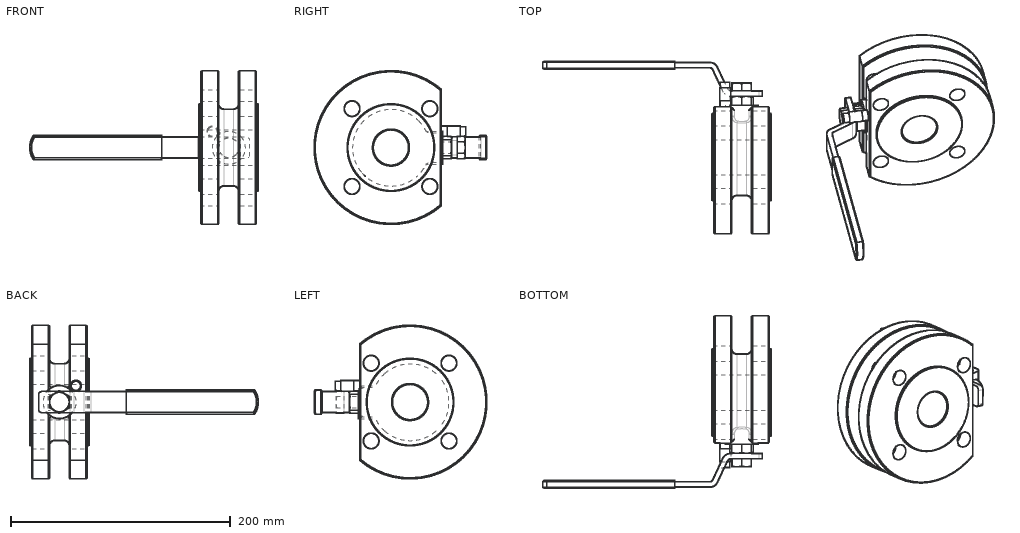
import cadquery as cq
import math


overall_length = 208.0
flange_diameter = 140.0
body_half_length = 27.0
face_diameter = 79.6
face_height = 1.9
face_chamfer = 0.6
gap_half_width = 9.0
neck_diameter = 70.0
neck_fillet = 4.5
rim_chamfer = 1.0
bore_diameter = 32.0
bore_chamfer = 0.8
bolt_hole_diameter = 14.0
bolt_circle_diameter = 100.0
bolt_count = 4
flat_y = 46.0

boss_diameter = 30.0
boss_top_y = 47.2
boss_fillet = 1.7
nut_across_flats = 17.9
nut_chamfer_height = 0.8
nut_chamfer_width = 1.5
nut_top_y = 67.5
tab_span = 21.5
tab_width = 14.5
tab_gap = 0.6

pin_x = -15.0
pin_z = 14.8
pin_base_diameter = 9.8
pin_diameter = 10.0
pin_tip_diameter = 8.5
pin_base_top_y = 51.2
pin_tip_y = 63.0
pin_top_y = 68.2

lever_thickness = 5.0
lever_width = 19.3
lever_low_y = 57.8
lever_high_y = 83.5
lever_low_corner_x = -13.5
lever_slope_angle = math.radians(65)
lever_low_bend_radius = 6.2
lever_high_bend_radius = 4.8
lever_end_x = 19.0
lever_corner_radius = 3.1
lever_in_grip = 7.3
grip_end_x = body_half_length - overall_length
grip_start_x = -61.0
grip_thickness = 7.3
grip_width = 22.2
grip_chamfer_width = 1.7
grip_chamfer_depth = 1.0
grip_crown = 3.5

flange_face_x = body_half_length - face_height
lever_top_y = lever_low_y + lever_thickness / 2
lever_bottom_y = lever_low_y - lever_thickness / 2


def y_cylinder(diameter, y_start, y_end, x=0.0, z=0.0):
    """Cylinder along Y between two heights."""
    plane = cq.Workplane("XZ", origin=(x, y_start, z))
    return plane.circle(diameter / 2).extrude(y_start - y_end)


def make_disc(diameter, x_start, x_end):
    """Disc along X."""
    plane = cq.Workplane("YZ", origin=(x_start, 0, 0))
    return plane.circle(diameter / 2).extrude(x_end - x_start)


def make_flange(side):
    """Flange with a flat towards the stem, its raised face and chamfered rims."""
    disc = make_disc(flange_diameter, side * gap_half_width, side * flange_face_x)
    cut_size = 2 * flange_diameter
    above_flat = cq.Workplane("XY").box(cut_size, cut_size, cut_size)
    above_flat = above_flat.translate((0, flat_y + cut_size / 2, 0))
    flange = disc.cut(above_flat).faces("|X").chamfer(rim_chamfer)
    face = make_disc(face_diameter, side * gap_half_width, side * body_half_length)
    outer_face = ">X" if side > 0 else "<X"
    return flange.union(face.faces(outer_face).chamfer(face_chamfer))


def make_neck():
    """Neck between the flanges, flared by a fillet where it meets each flange."""
    radius = neck_diameter / 2
    straight = gap_half_width - neck_fillet
    flare_radius = radius + neck_fillet
    return (
        cq.Workplane("XY")
        .moveTo(-gap_half_width, 0)
        .lineTo(-gap_half_width, flare_radius)
        .radiusArc((-straight, radius), -neck_fillet)
        .lineTo(straight, radius)
        .radiusArc((gap_half_width, flare_radius), -neck_fillet)
        .lineTo(gap_half_width, 0)
        .close()
        .revolve(360, (0, 0, 0), (1, 0, 0))
    )


def make_bore():
    """Through bore, with the cone that chamfers each of its mouths."""
    radius = bore_diameter / 2
    chamfer_start_x = body_half_length - bore_chamfer
    return (
        cq.Workplane("XY")
        .moveTo(-body_half_length, 0)
        .lineTo(-body_half_length, radius + bore_chamfer)
        .lineTo(-chamfer_start_x, radius)
        .lineTo(chamfer_start_x, radius)
        .lineTo(body_half_length, radius + bore_chamfer)
        .lineTo(body_half_length, 0)
        .close()
        .revolve(360, (0, 0, 0), (1, 0, 0))
    )


def make_body():
    """Flanges, neck and stem boss, bored through and drilled for the bolts."""
    body = make_flange(-1).union(make_flange(1)).union(make_neck())
    body = body.union(y_cylinder(boss_diameter, 0, flat_y))
    boss_joint = cq.selectors.BoxSelector(
        (-flange_face_x / 2, neck_diameter / 4, -boss_diameter),
        (flange_face_x / 2, flat_y - rim_chamfer, boss_diameter),
    )
    body = body.edges(boss_joint).fillet(boss_fillet)
    body = body.cut(make_bore())
    bolt_holes = (
        cq.Workplane("YZ", origin=(-body_half_length, 0, 0))
        .polarArray(bolt_circle_diameter / 2, 45, 360, bolt_count)
        .circle(bolt_hole_diameter / 2)
        .extrude(2 * body_half_length)
    )
    return body.cut(bolt_holes)


def make_nut(y_start, y_end):
    """Hexagon nut with two corners towards +Z and -Z and a chamfered top."""
    corner_diameter = nut_across_flats / math.cos(math.pi / 6)
    nut = (
        cq.Workplane("XZ", origin=(0, y_start, 0))
        .transformed(rotate=(0, 0, 90))
        .polygon(6, corner_diameter)
        .extrude(y_start - y_end)
    )
    envelope = y_cylinder(corner_diameter, y_start, y_end)
    envelope = envelope.faces(">Y").edges().chamfer(nut_chamfer_height, nut_chamfer_width)
    return nut.intersect(envelope)


def make_stem():
    """Boss top with a nut below the lever, lock tabs against that nut and a nut above the lever."""
    stem = y_cylinder(boss_diameter, flat_y, boss_top_y)
    stem = stem.union(make_nut(boss_top_y, lever_bottom_y))
    tab_height = lever_bottom_y - tab_gap - boss_top_y
    tab_thickness = (tab_span - nut_across_flats) / 2
    tab = cq.Workplane("XY").box(tab_thickness, tab_height, tab_width)
    for side in (-1, 1):
        tab_x = side * (tab_span - tab_thickness) / 2
        stem = stem.union(tab.translate((tab_x, boss_top_y + tab_height / 2, 0)))
    return stem.union(make_nut(lever_top_y, nut_top_y))


def make_pin():
    """Stepped pin standing on the flat of the -X flange."""
    pin = y_cylinder(pin_base_diameter, flat_y, pin_base_top_y, pin_x, pin_z)
    pin = pin.union(y_cylinder(pin_diameter, pin_base_top_y, pin_tip_y, pin_x, pin_z))
    return pin.union(y_cylinder(pin_tip_diameter, pin_tip_y, pin_top_y, pin_x, pin_z))


def make_lever():
    """Flat bar that runs level, slopes down and runs level again under the top nut."""
    high_corner_x = lever_low_corner_x - (lever_high_y - lever_low_y) / math.tan(lever_slope_angle)
    slope_x = math.cos(lever_slope_angle)
    slope_y = math.sin(lever_slope_angle)
    low_setback = lever_low_bend_radius * math.tan(lever_slope_angle / 2)
    high_setback = lever_high_bend_radius * math.tan(lever_slope_angle / 2)
    low_bend_end = (lever_low_corner_x - low_setback * slope_x, lever_low_y + low_setback * slope_y)
    high_bend_start = (high_corner_x + high_setback * slope_x, lever_high_y - high_setback * slope_y)
    path = (
        cq.Workplane("XY")
        .moveTo(lever_end_x, lever_low_y)
        .lineTo(lever_low_corner_x + low_setback, lever_low_y)
        .radiusArc(low_bend_end, lever_low_bend_radius)
        .lineTo(*high_bend_start)
        .radiusArc((high_corner_x - high_setback, lever_high_y), -lever_high_bend_radius)
        .lineTo(grip_start_x - lever_in_grip, lever_high_y)
    )
    start = cq.Workplane("YZ", origin=(lever_end_x, lever_low_y, 0))
    lever = start.rect(lever_thickness, lever_width).sweep(path)
    return lever.faces(">X").edges("|Y").fillet(lever_corner_radius)


def make_grip():
    """Grip sleeve with a crowned end and chamfered long and crowned edges."""
    half_width = grip_width / 2
    grip = (
        cq.Workplane("XZ", origin=(0, lever_high_y + grip_thickness / 2, 0))
        .moveTo(grip_start_x, -half_width)
        .lineTo(grip_end_x + grip_crown, -half_width)
        .threePointArc((grip_end_x, 0), (grip_end_x + grip_crown, half_width))
        .lineTo(grip_start_x, half_width)
        .close()
        .extrude(grip_thickness)
    )
    return grip.faces("|Y").edges("not >X").chamfer(grip_chamfer_depth, grip_chamfer_width)


result = make_body().union(make_stem()).union(make_pin()).union(make_lever()).union(make_grip())